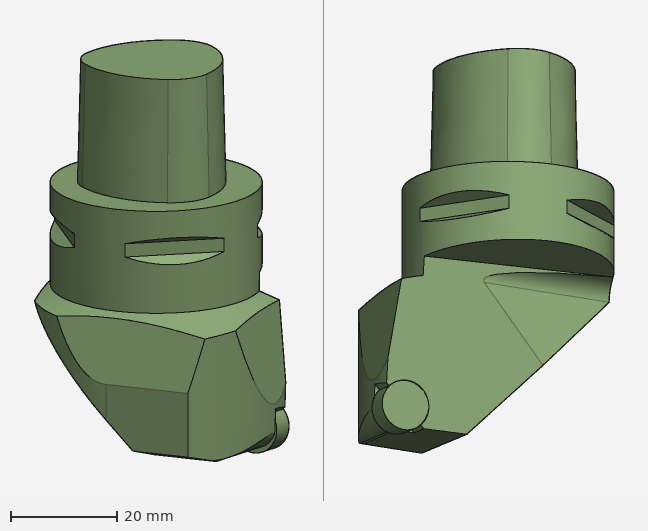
import cadquery as cq
import math


collar_radius = 40.0 / 2
collar_height = 20.0

shank_height = 24.0
shank_taper_angle = math.degrees(math.atan(1 / 40))
lobe_tip_distance = 14.85
flat_distance = 13.15
lobe_radius = 8.6

grip_groove_floor_distance = 17.6
grip_groove_floor_height = 2.6
grip_groove_mid_z = 12.1
grip_groove_flank_angle = 29.0
grip_groove_count = 4

head_turn_angle = 12.0
shoulder_angle = 15.0
slope_start = -19.6
slope_angle = 45.3

front_face_distance = 25.7
front_face_top_z = -12.8
front_face_bottom_z = -25.3
front_slope_angle = 15.0
bottom_edge_across = -19.8
bottom_edge_z = -27.4
bottom_angle = 5.3

heel_radius = 22.0
side_wall_radius = 34.0
side_wall_centre = (-7.8, -2.0)

side_facet_reach = 23.95
side_facet_turn = 0.129
side_facet_lean = 0.137

relief_wall_across = 4.1
relief_fillet_radius = 4.0
overhang_angle = 4.0
rake_edge_y = 3.0
rake_lean = 0.098

insert_radius = 9.52 / 2
insert_thickness = 5.0
insert_top_y_centre = 4.95
insert_centre_x = 21.73
insert_centre_z = -25.24
corner_radius = 4.5
corner_rise = 0.8

reach = 80.0

turn = math.radians(head_turn_angle)
along = cq.Vector(math.cos(turn), math.sin(turn), 0)
across = cq.Vector(-math.sin(turn), math.cos(turn), 0)
up = cq.Vector(0, 0, 1)
rake_normal = cq.Vector(-rake_lean, 1, -rake_lean).normalized()
insert_top_centre = cq.Vector(insert_centre_x, insert_top_y_centre, insert_centre_z)

plan_plane = cq.Plane(origin=(0, 0, 0), xDir=along, normal=up)
cross_plane = cq.Plane(origin=(0, 0, 0), xDir=across, normal=along)
side_plane = cq.Plane(origin=(0, 0, 0), xDir=along, normal=across * -1)


def on_ray(distance, angle):
    radians = math.radians(angle)
    return cq.Vector(distance * math.cos(radians), distance * math.sin(radians), 0)


def make_shank():
    """Tapered three-lobed polygon of tangent arcs, one lobe towards +Y."""
    lobe_centre = lobe_tip_distance - lobe_radius
    flat_gap = flat_distance - lobe_radius
    flat_centre = (lobe_centre**2 - flat_gap**2) / (2 * flat_gap - lobe_centre)
    flat_radius = flat_distance + flat_centre

    lobe_angles = (90, 210, 330)
    outline = None
    for lobe_angle in lobe_angles:
        centre = on_ray(lobe_centre, lobe_angle)
        flat_before = on_ray(flat_centre, lobe_angle + 120)
        flat_after = on_ray(flat_centre, lobe_angle - 120)
        start = flat_before + (centre - flat_before).normalized() * flat_radius
        end = flat_after + (centre - flat_after).normalized() * flat_radius
        tip = on_ray(lobe_tip_distance, lobe_angle)
        if outline is None:
            first_start = start
            outline = cq.Workplane("XY", origin=(0, 0, collar_height)).moveTo(start.x, start.y)
        else:
            middle = on_ray(flat_distance, lobe_angle - 60)
            outline = outline.threePointArc(middle.toTuple()[:2], start.toTuple()[:2])
        outline = outline.threePointArc(tip.toTuple()[:2], end.toTuple()[:2])
    last_middle = on_ray(flat_distance, lobe_angles[-1] + 60)
    outline = outline.threePointArc(last_middle.toTuple()[:2], first_start.toTuple()[:2]).close()
    return outline.extrude(shank_height, taper=shank_taper_angle)


def make_collar():
    """Round collar with flat-bottomed grip grooves around it."""
    collar = cq.Workplane("XY").circle(collar_radius).extrude(collar_height)
    half_floor = grip_groove_floor_height / 2
    half_mouth = half_floor + (collar_radius - grip_groove_floor_distance) * math.tan(
        math.radians(grip_groove_flank_angle)
    )
    groove = (
        cq.Workplane("XZ", origin=(0, 0, grip_groove_mid_z))
        .moveTo(grip_groove_floor_distance, -half_floor)
        .lineTo(collar_radius, -half_mouth)
        .lineTo(collar_radius, half_mouth)
        .lineTo(grip_groove_floor_distance, half_floor)
        .close()
        .extrude(collar_radius, both=True)
    )
    for index in range(grip_groove_count):
        angle = (index + 0.5) * 360 / grip_groove_count
        collar = collar.cut(groove.rotate((0, 0, 0), (0, 0, 1), angle))
    return collar


def make_head_plan():
    """Plan outline: round heel, flat front face and bulging side wall."""
    wall_along, wall_across = side_wall_centre
    rear = collar_radius
    front = -front_face_distance
    heel_across = front + heel_radius

    def wall_at(position):
        return wall_along + math.sqrt(side_wall_radius**2 - (position - wall_across) ** 2)

    heel_middle = heel_radius * math.sqrt(0.5)
    return (
        cq.Workplane(plan_plane)
        .moveTo(-heel_radius, heel_across)
        .threePointArc((-heel_middle, heel_across - heel_middle), (0, front))
        .lineTo(wall_at(front), front)
        .threePointArc((wall_at(wall_across), wall_across), (wall_at(rear), rear))
        .lineTo(-heel_radius, rear)
        .close()
        .extrude(-reach)
    )


def make_head_cross_section():
    """Section across the head: leaning upper front, front face, bevel and sloping bottom."""
    front = -front_face_distance
    slope_top = front - front_face_top_z * math.tan(math.radians(front_slope_angle))
    bottom_rear_z = bottom_edge_z - (reach - bottom_edge_across) * math.tan(math.radians(bottom_angle))
    return (
        cq.Workplane(cross_plane)
        .moveTo(slope_top, 0)
        .lineTo(front, front_face_top_z)
        .lineTo(front, front_face_bottom_z)
        .lineTo(bottom_edge_across, bottom_edge_z)
        .lineTo(reach, bottom_rear_z)
        .lineTo(reach, 0)
        .close()
        .extrude(reach, both=True)
    )


def make_head_side_section():
    """Everything above the slope under the head."""
    slope_drop = reach * math.tan(math.radians(slope_angle))
    return (
        cq.Workplane(side_plane)
        .moveTo(slope_start, 0)
        .lineTo(slope_start + reach, -slope_drop)
        .lineTo(slope_start + reach, 0)
        .close()
        .extrude(reach, both=True)
    )


def make_shoulder():
    """Conical top of the head, falling away from the collar."""
    drop = (reach - collar_radius) * math.tan(math.radians(shoulder_angle))
    return (
        cq.Workplane("XZ")
        .lineTo(collar_radius, 0)
        .lineTo(reach, -drop)
        .lineTo(reach, -reach)
        .lineTo(0, -reach)
        .close()
        .revolve(360, (0, 0, 0), (0, 1, 0))
    )


def make_side_facet_cut():
    """Material outside the leaning flat on the +X side of the head."""
    facet_normal = cq.Vector(1, side_facet_turn, side_facet_lean)
    facet_plane = cq.Plane(origin=(side_facet_reach, 0, 0), xDir=(0, 0, 1), normal=facet_normal)
    return cq.Workplane(facet_plane).rect(2 * reach, 2 * reach).extrude(reach)


def make_rake_cut():
    """Open space on the rake side: below the overhang, beyond the relief wall or the rake face."""
    tilt = math.radians(overhang_angle)
    fillet_across = relief_wall_across + relief_fillet_radius

    def overhang_z(position):
        return relief_fillet_radius / math.cos(tilt) + (position - fillet_across) * math.tan(tilt)

    def fillet_point(angle):
        return (
            fillet_across + relief_fillet_radius * math.cos(angle),
            relief_fillet_radius * math.sin(angle),
        )

    tangent_angle = math.pi / 2 + tilt
    relief = (
        cq.Workplane(cross_plane)
        .moveTo(relief_wall_across, -reach)
        .lineTo(relief_wall_across, 0)
        .threePointArc(fillet_point((math.pi + tangent_angle) / 2), fillet_point(tangent_angle))
        .lineTo(reach, overhang_z(reach))
        .lineTo(reach, -reach)
        .close()
        .extrude(reach, both=True)
    )
    below_overhang = (
        cq.Workplane(cross_plane)
        .moveTo(-reach, -reach)
        .lineTo(-reach, overhang_z(-reach))
        .lineTo(reach, overhang_z(reach))
        .lineTo(reach, -reach)
        .close()
        .extrude(reach, both=True)
    )
    rake_plane = cq.Plane(origin=(slope_start, rake_edge_y, 0), xDir=(1, rake_lean, 0), normal=rake_normal)
    beyond_rake = cq.Workplane(rake_plane).rect(4 * reach, 4 * reach).extrude(reach)
    return relief.union(beyond_rake.intersect(below_overhang))


def make_corner_cut():
    """Rounds the lower outer corner of the head, parallel to the insert axis."""
    axis_start = insert_top_centre + up * corner_rise
    corner_plane = cq.Plane(origin=axis_start, xDir=(1, rake_lean, 0), normal=rake_normal)
    block = 2 * corner_radius
    arc_middle = corner_radius * math.sqrt(0.5)
    return (
        cq.Workplane(corner_plane)
        .moveTo(corner_radius, 0)
        .threePointArc((arc_middle, arc_middle), (0, corner_radius))
        .lineTo(0, block)
        .lineTo(block, block)
        .lineTo(block, 0)
        .close()
        .extrude(reach / 2, both=True)
    )


def make_seat_cut():
    """Opens the insert seat towards the lower outer corner, past a diagonal through the insert axis."""
    seat_centre = insert_top_centre - rake_normal * insert_thickness
    seat_plane = cq.Plane(origin=seat_centre, xDir=(1, rake_lean, 0), normal=rake_normal)
    size = 3 * insert_radius
    return (
        cq.Workplane(seat_plane)
        .moveTo(-size, size)
        .lineTo(size, -size)
        .lineTo(size, size)
        .close()
        .extrude(2 * insert_thickness)
    )


def make_insert():
    """Round cutting insert, standing slightly proud of the rake face."""
    top_plane = cq.Plane(origin=insert_top_centre, xDir=(1, rake_lean, 0), normal=rake_normal)
    return cq.Workplane(top_plane).circle(insert_radius).extrude(-insert_thickness)


def make_head():
    """Offset head: the common part of its three outlines and the shoulder, less the local cuts."""
    head = make_head_plan()
    head = head.intersect(make_head_cross_section())
    head = head.intersect(make_head_side_section())
    head = head.intersect(make_shoulder())
    head = head.cut(make_side_facet_cut())
    head = head.cut(make_corner_cut())
    return head.cut(make_seat_cut())


insert = make_insert()
holder = make_collar().union(make_head()).cut(make_rake_cut()).union(make_shank()).cut(insert)

result = cq.Compound.makeCompound([holder.val(), insert.val()])